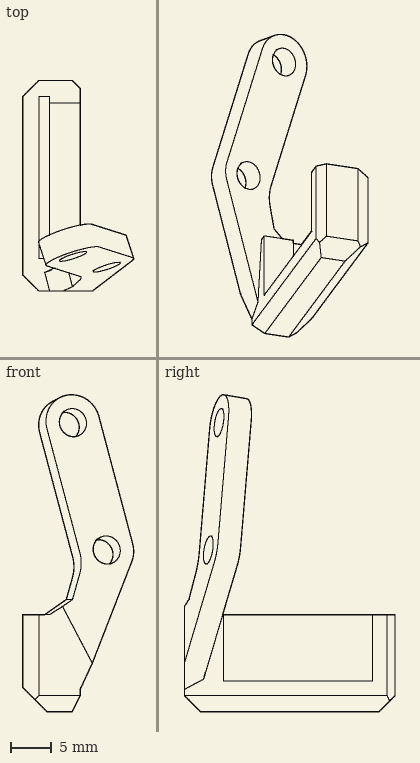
import cadquery as cq
import math

BODY_X = 7.1
BODY_Y = 26.0
BODY_Z = 12.0
SIDE_WALL = 2.0
BACK_WALL = 2.0
FRONT_WALL = 4.0
FLOOR = 3.0
GROOVE_WIDTH = 1.3
LIP = 0.8

CORNER_CHAMFER = 2.0
BOTTOM_CHAMFER = 3.0
OPEN_CORNER_CHAMFER = 1.0
OPEN_BOTTOM_RUN = 1.0
OPEN_BOTTOM_RISE = 2.0

ARM_THICKNESS = 3.0
ARM_SWIVEL = math.radians(18)
ARM_TILT = math.radians(9.2)
TIP_HOLE_POSITION = (6.2, 4.28, 35.67)

HOLE_DIAMETER = 3.5
HOLE_SPACING = 16.3
ARM_RADIUS = 3.5
ARM_LEAN = 12.6
OUTER_LEG_LEAN = 24.5
INNER_LEG_LEAN = 19.0
BEND_RADIUS = 4.7
BEND_RISE = 0.4
SHOULDER_DISTANCE = 3.45
FOOT_DEPTH = 33.3

SHOULDER_SLOPE = math.radians(33)
SHOULDER_EMBED = 0.5


def polar(radius, degrees):
    angle = math.radians(degrees)
    return cq.Vector(radius * math.cos(angle), radius * math.sin(angle))


def box(x_range, y_range, z_range):
    size = [high - low for low, high in (x_range, y_range, z_range)]
    corner = (x_range[0], y_range[0], z_range[0])
    return cq.Workplane("XY").box(*size, centered=False).translate(corner)


def make_blank():
    """Block with all its outer chamfers, as three outlines intersected."""
    along_y = (
        cq.Workplane("XZ")
        .moveTo(BOTTOM_CHAMFER, 0)
        .lineTo(BODY_X - OPEN_BOTTOM_RUN, 0)
        .lineTo(BODY_X, OPEN_BOTTOM_RISE)
        .lineTo(BODY_X, BODY_Z)
        .lineTo(0, BODY_Z)
        .lineTo(0, BOTTOM_CHAMFER)
        .close()
        .extrude(-BODY_Y)
    )
    along_x = (
        cq.Workplane("YZ")
        .moveTo(CORNER_CHAMFER, 0)
        .lineTo(BODY_Y - CORNER_CHAMFER, 0)
        .lineTo(BODY_Y, CORNER_CHAMFER)
        .lineTo(BODY_Y, BODY_Z)
        .lineTo(0, BODY_Z)
        .lineTo(0, CORNER_CHAMFER)
        .close()
        .extrude(BODY_X)
    )
    along_z = (
        cq.Workplane("XY")
        .moveTo(CORNER_CHAMFER, 0)
        .lineTo(BODY_X, 0)
        .lineTo(BODY_X, BODY_Y - OPEN_CORNER_CHAMFER)
        .lineTo(BODY_X - OPEN_CORNER_CHAMFER, BODY_Y)
        .lineTo(CORNER_CHAMFER, BODY_Y)
        .lineTo(0, BODY_Y - CORNER_CHAMFER)
        .lineTo(0, CORNER_CHAMFER)
        .close()
        .extrude(BODY_Z)
    )
    return along_y.intersect(along_x).intersect(along_z)


def make_body():
    """Block with the groove and, inside its lips, the opening towards +X."""
    groove_end = SIDE_WALL + GROOVE_WIDTH
    groove = box(
        (SIDE_WALL, groove_end),
        (FRONT_WALL, BODY_Y - BACK_WALL),
        (FLOOR, BODY_Z),
    )
    opening = box(
        (groove_end, BODY_X),
        (FRONT_WALL + LIP, BODY_Y - BACK_WALL - LIP),
        (FLOOR + LIP, BODY_Z),
    )
    return make_blank().cut(groove).cut(opening)


def arm_plane():
    """Plane of the arm's front face, with its origin at the tip hole."""
    normal = (
        math.cos(ARM_TILT) * math.sin(ARM_SWIVEL),
        -math.cos(ARM_TILT) * math.cos(ARM_SWIVEL),
        math.sin(ARM_TILT),
    )
    level = (math.cos(ARM_SWIVEL), math.sin(ARM_SWIVEL), 0)
    return cq.Plane(origin=TIP_HOLE_POSITION, xDir=level, normal=normal)


def trim_to_arm_face(body):
    """Remove the body corner that stands in front of the arm's front face."""
    size = 2 * TIP_HOLE_POSITION[2]
    in_front = cq.Workplane(arm_plane()).rect(2 * size, 2 * size).extrude(size)
    return body.cut(in_front)


TIP_HOLE = cq.Vector(0, 0)
CRANK_HOLE = TIP_HOLE + polar(HOLE_SPACING, ARM_LEAN - 90)
TO_OUTER_EDGE = polar(ARM_RADIUS, ARM_LEAN)
BEND_START = CRANK_HOLE - TO_OUTER_EDGE + polar(BEND_RISE, ARM_LEAN + 90)
BEND_CENTRE = BEND_START - polar(BEND_RADIUS, ARM_LEAN)
BEND_END = BEND_CENTRE + polar(BEND_RADIUS, -INNER_LEG_LEAN)
SHOULDER_TOP = BEND_END + polar(SHOULDER_DISTANCE, -90 - INNER_LEG_LEAN)
CRANK_END = CRANK_HOLE + polar(ARM_RADIUS, -OUTER_LEG_LEAN)


def foot_point(start, lean):
    """Where an edge of the lower leg, leaning from `start`, meets the foot."""
    height = start.y + FOOT_DEPTH
    return (start.x - height * math.tan(math.radians(lean)), -FOOT_DEPTH)


def make_shoulder():
    """Wedge as thick as the plate, with a level ridge on the leg's inner edge face."""
    plane = arm_plane()
    ridge_start = plane.toWorldCoords(SHOULDER_TOP)
    edge_normal = plane.toWorldCoords(polar(1, 180 - INNER_LEG_LEAN)) - plane.origin
    downhill = cq.Vector(edge_normal.x, edge_normal.y).normalized()
    ridge = downhill.cross(cq.Vector(0, 0, 1))
    drop = ridge_start.z - BODY_Z
    run = drop / math.tan(SHOULDER_SLOPE)
    base = -drop - SHOULDER_EMBED
    wedge = (
        cq.Workplane(cq.Plane(origin=ridge_start, xDir=downhill, normal=ridge))
        .polyline([(0, 0), (run, -drop), (run, base), (0, base)])
        .close()
        .extrude(2 * ARM_THICKNESS, both=True)
    )
    slab = cq.Workplane(plane).rect(2 * FOOT_DEPTH, 2 * FOOT_DEPTH).extrude(-ARM_THICKNESS)
    return wedge.intersect(slab)


def make_arm():
    """Cranked plate with two holes and a shoulder, cut flush with the body's -Y face."""
    plane = arm_plane()
    outline = (
        cq.Workplane(plane)
        .moveTo(TO_OUTER_EDGE.x, TO_OUTER_EDGE.y)
        .threePointArc(polar(ARM_RADIUS, ARM_LEAN + 90), -TO_OUTER_EDGE)
        .lineTo(BEND_START.x, BEND_START.y)
        .threePointArc(
            BEND_CENTRE + polar(BEND_RADIUS, (ARM_LEAN - INNER_LEG_LEAN) / 2),
            BEND_END,
        )
        .lineTo(*foot_point(BEND_END, INNER_LEG_LEAN))
        .lineTo(*foot_point(CRANK_END, OUTER_LEG_LEAN))
        .lineTo(CRANK_END.x, CRANK_END.y)
        .threePointArc(
            CRANK_HOLE + polar(ARM_RADIUS, (ARM_LEAN - OUTER_LEG_LEAN) / 2),
            CRANK_HOLE + TO_OUTER_EDGE,
        )
        .close()
    )
    plate = outline.extrude(-ARM_THICKNESS)
    holes = (
        cq.Workplane(plane)
        .pushPoints([TIP_HOLE, CRANK_HOLE])
        .circle(HOLE_DIAMETER / 2)
        .extrude(-ARM_THICKNESS)
    )
    reach = 2 * TIP_HOLE_POSITION[2]
    behind_front_face = box((-reach, reach), (0, reach), (0, reach))
    return plate.cut(holes).union(make_shoulder()).intersect(behind_front_face)


result = trim_to_arm_face(make_body()).union(make_arm())